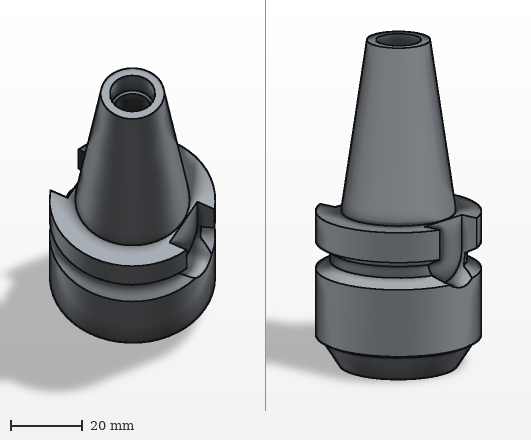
import cadquery as cq

total_height = 93.4
nose_height = 7.6
body_bottom = 8.4
body_top = 27.6
groove_bottom = 30.0
groove_top = 33.25
flange_bottom = 35.5
flange_top = 44.1
gauge_height = 45.0

body_diameter = 46.0
body_radius = body_diameter / 2
nose_radius = 16.5
nose_top_radius = 21.4
groove_radius = 19.1
gauge_radius = 15.9
taper_slope = 7 / 48
taper_tip_radius = gauge_radius - taper_slope * (total_height - gauge_height)

bore_radius = 5.1
mouth_radius = 6.3
mouth_depth = 7.0

slot_width = 16.1
slot_floor_distance = 16.2
slot_bottom = 26.15


def make_body():
    """Revolve the stepped outer profile about Z."""
    profile = [
        (0, 0),
        (nose_radius, 0),
        (nose_top_radius, nose_height),
        (body_radius, body_bottom),
        (body_radius, body_top),
        (groove_radius, groove_bottom),
        (groove_radius, groove_top),
        (body_radius, flange_bottom),
        (body_radius, flange_top),
        (gauge_radius, flange_top),
        (gauge_radius, gauge_height),
        (taper_tip_radius, total_height),
        (0, total_height),
    ]
    return cq.Workplane("XZ").polyline(profile).close().revolve(360, (0, 0), (0, 1))


def make_bore():
    """Through bore and its counterbored mouth."""
    bore = cq.Workplane("XY").circle(bore_radius).extrude(total_height)
    mouth_floor = total_height - mouth_depth
    mouth = cq.Workplane("XY", origin=(0, 0, mouth_floor)).circle(mouth_radius).extrude(mouth_depth)
    return bore.union(mouth)


def make_slot(start_x):
    """Cutter for one drive slot, reaching from start_x in +X through the rim thickness."""
    half_width = slot_width / 2
    arc_center = slot_bottom + half_width
    return (
        cq.Workplane("YZ", origin=(start_x, 0, 0))
        .moveTo(-half_width, flange_top)
        .lineTo(-half_width, arc_center)
        .threePointArc((0, slot_bottom), (half_width, arc_center))
        .lineTo(half_width, flange_top)
        .close()
        .extrude(body_radius - slot_floor_distance)
    )


result = make_body().cut(make_bore())
for slot_start in (-body_radius, slot_floor_distance):
    result = result.cut(make_slot(slot_start))